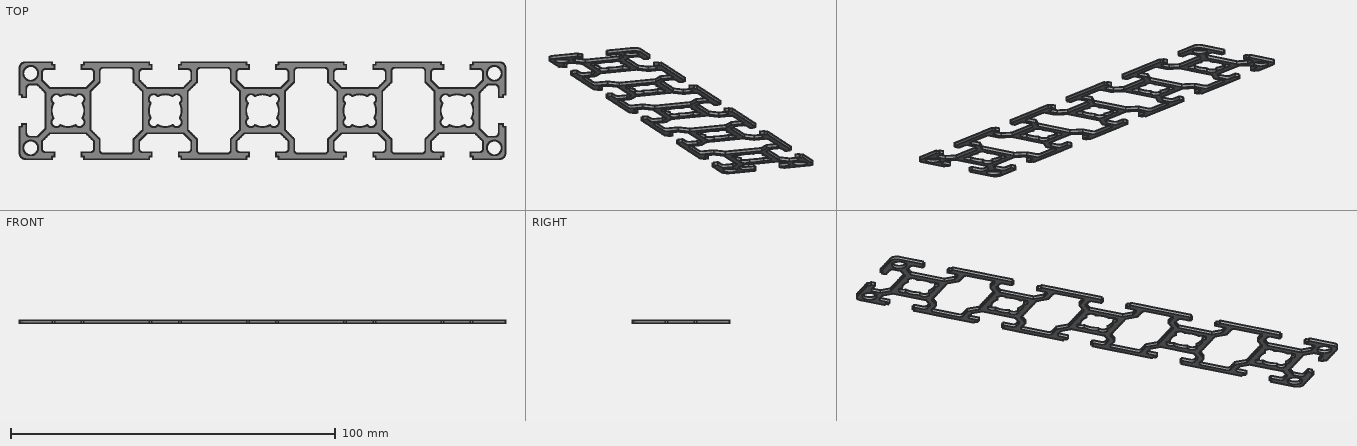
import cadquery as cq

pitch = 30.0
cell_count = 5
length = pitch * cell_count
width = pitch
thickness = 1.0

slot_opening_half = 4.1
slot_inner_half = 8.0
slot_depth = 8.0
lip_thickness = 2.2
slot_corner_radius = 1.0
slot_floor_chamfer = 2.4
lip_step = 0.8

outer_corner_radius = 2.0
wall = 1.8
cavity_waist_half = 6.0
cavity_corner_radius = 1.0

core_radius = 5.0
lobe_offset = 3.55
lobe_radius = 1.5
corner_hole_diameter = 4.5
corner_hole_inset = 3.5

half_pitch = pitch / 2
core_half = half_pitch - slot_depth
cell_centres = [(i - (cell_count - 1) / 2) * pitch for i in range(cell_count)]


def make_slot():
    """T-slot cutter opening toward +Y, for a cell centred on the origin."""
    lip_bottom = half_pitch - lip_thickness
    floor_half = slot_inner_half - slot_floor_chamfer
    chamfer_top = core_half + slot_floor_chamfer
    pocket = (
        cq.Workplane("XY")
        .polyline([
            (-floor_half, core_half),
            (floor_half, core_half),
            (slot_inner_half, chamfer_top),
            (slot_inner_half, lip_bottom),
            (-slot_inner_half, lip_bottom),
            (-slot_inner_half, chamfer_top),
        ])
        .close()
        .extrude(thickness)
    )
    corners = cq.selectors.BoxSelector(
        (-pitch, lip_bottom - slot_corner_radius / 2, -thickness),
        (pitch, lip_bottom + slot_corner_radius / 2, 2 * thickness),
    )
    pocket = pocket.edges("|Z").edges(corners).fillet(slot_corner_radius)

    mouth = (
        cq.Workplane("XY")
        .center(0, core_half + slot_depth / 2)
        .rect(2 * slot_opening_half, slot_depth)
        .extrude(thickness)
    )
    step = (
        cq.Workplane("XY")
        .center(0, half_pitch - lip_step / 2)
        .rect(2 * (slot_opening_half + lip_step), lip_step)
        .extrude(thickness)
    )
    return pocket.union(mouth).union(step)


def make_cavity():
    """Cutter for the hollow between two cells, centred on the origin."""
    waist_x = half_pitch - core_half
    waist_y = cavity_waist_half
    side_x = half_pitch - slot_inner_half - wall
    side_y = waist_y + waist_x - side_x
    top_y = half_pitch - wall
    cavity = (
        cq.Workplane("XY")
        .polyline([
            (waist_x, -waist_y),
            (waist_x, waist_y),
            (side_x, side_y),
            (side_x, top_y),
            (-side_x, top_y),
            (-side_x, side_y),
            (-waist_x, waist_y),
            (-waist_x, -waist_y),
            (-side_x, -side_y),
            (-side_x, -top_y),
            (side_x, -top_y),
            (side_x, -side_y),
        ])
        .close()
        .extrude(thickness)
    )
    corner_edges = cavity.edges("|Z").edges(">Y or <Y")
    return corner_edges.fillet(cavity_corner_radius)


def make_core_hole():
    """Cutter for the core: a round bore with a lobe in each corner."""
    bore = cq.Workplane("XY").circle(core_radius).extrude(thickness)
    lobes = (
        cq.Workplane("XY")
        .rect(2 * lobe_offset, 2 * lobe_offset, forConstruction=True)
        .vertices()
        .circle(lobe_radius)
        .extrude(thickness)
    )
    return bore.union(lobes)


def make_blank():
    """Rounded rectangular plate with a round hole in each corner."""
    plate = cq.Workplane("XY").rect(length, width).extrude(thickness)
    plate = plate.edges("|Z").fillet(outer_corner_radius)
    corner_holes = (
        cq.Workplane("XY")
        .rect(length - 2 * corner_hole_inset, width - 2 * corner_hole_inset, forConstruction=True)
        .vertices()
        .circle(corner_hole_diameter / 2)
        .extrude(thickness)
    )
    return plate.cut(corner_holes)


def turned(shape, angle):
    """Copy of a shape turned about the Z axis."""
    return shape.rotate((0, 0, 0), (0, 0, 1), angle)


slot = make_slot()
cavity = make_cavity()
core_hole = make_core_hole()

result = make_blank()

for centre in cell_centres:
    result = result.cut(core_hole.translate((centre, 0, 0)))
    result = result.cut(slot.translate((centre, 0, 0)))
    result = result.cut(turned(slot, 180).translate((centre, 0, 0)))

result = result.cut(turned(slot, 90).translate((cell_centres[0], 0, 0)))
result = result.cut(turned(slot, -90).translate((cell_centres[-1], 0, 0)))

for centre in cell_centres[:-1]:
    result = result.cut(cavity.translate((centre + half_pitch, 0, 0)))